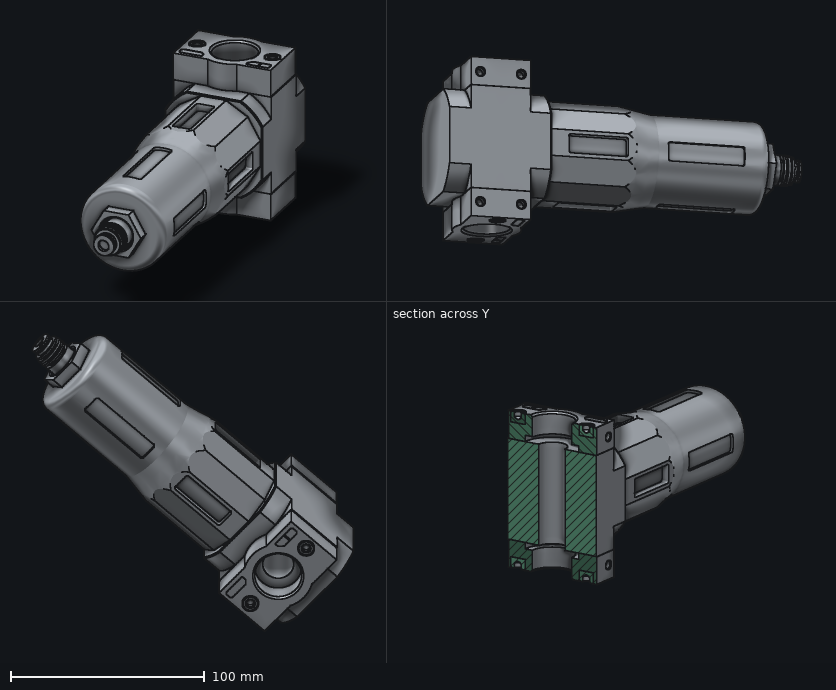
import cadquery as cq
import math


total_length = 195.2
total_height = 85.0

housing_width = 55.2
housing_height = 54.9
housing_back = 27.5
housing_front = -27.3
housing_round_radius = 31.5
housing_edge_chamfer = 0.5
band_half_depth = 16.0

plate_width = 55.0
plate_shift = -0.3
plate_thickness = (total_height - housing_height) / 2
boss_radius = 18.0
port_diameter = 24.2
port_mouth_diameter = 26.4
port_depth = 12.0
seal_recess_diameter = 33.2
through_bore_diameter = 16.0

side_hole_diameter = 4.1
side_hole_mouth_diameter = 5.0
side_hole_depth = 4.0
side_hole_offset = 11.0
side_hole_inset = 7.8

label_depth = 0.2
label_bottom = -13.5
label_top = -9.2
left_label_slant = 1.8
right_label_slant = 2.3
label_corner_radius = 1.2
left_label_start = -25.8
left_label_end = -12.9
right_label_start = 12.3
right_label_split = 18.7
right_label_gap = 0.5
right_label_end = 25.0

screw_offset = 21.3
screw_diameter = 8.5
screw_top_diameter = 7.5
screw_length = 5.9
socket_diameter = 4.1
socket_mouth_diameter = 5.0
socket_depth = 3.0
drill_point_angle = 118.0

guard_sides = 12
guard_across_flats = 53.1
guard_corner_radius = guard_across_flats / 2 / math.cos(math.pi / guard_sides)
guard_taper_start = -68.7
guard_taper_end = -85.7
guard_end = -145.5
guard_radius = 24.2
guard_end_fillet = 4.1

window_count = 4
window_width = 10.2
window_corner_radius = 1.2
upper_window = (-36.9, -68.5)
lower_window = (-91.0, -131.8)

bowl_radius = 22.6
bowl_end = -141.0
hex_across_flats = 24.2
hex_end = -151.5
drain_recess_diameter = 18.0
drain_recess_mouth_diameter = 19.5
drain_recess_depth = 4.0

drain_steps = [
    (-155.5, 16.0),
    (-157.3, 11.7),
    (-158.5, 16.0),
    (-159.7, 11.7),
    (-161.0, 15.8),
    (-162.0, 11.0),
    (-163.2, 14.6),
    (-165.0, 11.0),
    (-166.1, 8.5),
    (-167.3, 11.5),
]
drain_tip = housing_back - total_length
drain_bore_diameter = 6.0
drain_bore_depth = 2.0


def across_y(y):
    """Workplane at Y = y whose local axes are X and Z; positive extrusion goes toward -Y."""
    return cq.Workplane("XZ", origin=(0, y, 0))


def drilled_hole(diameter, depth):
    """Cutter along -Z from the origin: straight wall and conical floor."""
    radius = diameter / 2
    point_height = radius / math.tan(math.radians(drill_point_angle / 2))
    return (
        cq.Workplane("XZ")
        .moveTo(0, 0)
        .lineTo(radius, 0)
        .lineTo(radius, -depth)
        .lineTo(0, -depth - point_height)
        .close()
        .revolve(360, (0, 0, 0), (0, 1, 0))
    )


def mouth_cone(mouth_diameter, diameter, center, inward):
    """Cutter for a 45 degree chamfer around the mouth of a hole that runs along inward."""
    height = (mouth_diameter - diameter) / 2
    start = cq.Vector(*center)
    return cq.Solid.makeCone(mouth_diameter / 2, diameter / 2, height, start, cq.Vector(*inward))


def make_housing():
    length = housing_back - housing_front
    square = across_y(housing_back).rect(housing_width, housing_height).extrude(length)
    drum = across_y(housing_back).circle(housing_round_radius).extrude(length)
    rounded = square.intersect(drum).faces("<Y").chamfer(housing_edge_chamfer)
    band = cq.Workplane("XY").box(housing_width, 2 * band_half_depth, housing_height)
    bore = cq.Workplane("XY").circle(through_bore_diameter / 2).extrude(housing_height, both=True)
    return rounded.union(band).cut(bore)


def label_field(points):
    """Cutter for a shallow field in the outer face of the upper plate."""
    face = cq.Workplane("XY", origin=(0, 0, total_height / 2))
    return face.polyline(points).close().extrude(-label_depth)


def round_end(field, end):
    return field.edges("|Z").edges(end).fillet(label_corner_radius)


def left_label():
    points = [
        (left_label_start, label_bottom),
        (left_label_end, label_bottom),
        (left_label_end, label_top - left_label_slant),
        (left_label_end - left_label_slant, label_top),
        (left_label_start, label_top),
    ]
    return round_end(label_field(points), "<X")


def right_label_slanted():
    points = [
        (right_label_start, label_bottom),
        (right_label_split, label_bottom),
        (right_label_split, label_top),
        (right_label_start + right_label_slant, label_top),
        (right_label_start, label_top - right_label_slant),
    ]
    return label_field(points)


def right_label_rounded():
    start = right_label_split + right_label_gap
    points = [
        (start, label_bottom),
        (right_label_end, label_bottom),
        (right_label_end, label_top),
        (start, label_top),
    ]
    return round_end(label_field(points), ">X")


def make_upper_plate():
    bottom = housing_height / 2
    top = total_height / 2
    left_face = plate_shift - plate_width / 2

    base = cq.Workplane("XY", origin=(0, 0, bottom))
    plate = base.center(plate_shift, 0).rect(plate_width, 2 * band_half_depth).extrude(plate_thickness)
    plate = plate.union(base.circle(boss_radius).extrude(plate_thickness))

    outer = cq.Workplane("XY", origin=(0, 0, top))
    plate = plate.cut(base.circle(port_diameter / 2).extrude(plate_thickness))
    plate = plate.cut(base.circle(seal_recess_diameter / 2).extrude(plate_thickness - port_depth))
    plate = plate.cut(mouth_cone(port_mouth_diameter, port_diameter, (0, 0, top), (0, 0, -1)))

    screw_places = [(-screw_offset, 0), (screw_offset, 0)]
    recesses = outer.pushPoints(screw_places).circle(screw_diameter / 2).extrude(-screw_length)
    plate = plate.cut(recesses)

    side_hole = drilled_hole(side_hole_diameter, side_hole_depth)
    side_hole = side_hole.rotate((0, 0, 0), (0, 1, 0), -90)
    for side in (-1, 1):
        place = (left_face, side * side_hole_offset, top - side_hole_inset)
        plate = plate.cut(side_hole.translate(place))
        plate = plate.cut(mouth_cone(side_hole_mouth_diameter, side_hole_diameter, place, (1, 0, 0)))

    for label in (left_label(), right_label_slanted(), right_label_rounded()):
        plate = plate.cut(label)
    return plate


def make_upper_screw(x):
    top = total_height / 2
    edge_chamfer = (screw_diameter - screw_top_diameter) / 2
    blank = cq.Workplane("XY").circle(screw_diameter / 2).extrude(-screw_length)
    blank = blank.faces(">Z").chamfer(edge_chamfer)
    socket = drilled_hole(socket_diameter, socket_depth)
    mouth = mouth_cone(socket_mouth_diameter, socket_diameter, (0, 0, 0), (0, 0, -1))
    return blank.cut(socket).cut(mouth).translate((x, 0, top))


def hex_prism(y_start, y_end):
    """Hexagonal prism with two flats facing +Z and -Z."""
    corner_diameter = hex_across_flats / math.cos(math.pi / 6)
    return across_y(y_start).polygon(6, corner_diameter).extrude(y_start - y_end)


def make_guard():
    grip_length = housing_front - guard_end
    half_step = 180.0 / guard_sides
    prism = across_y(housing_front).polygon(guard_sides, 2 * guard_corner_radius).extrude(grip_length)
    prism = prism.rotate((0, 0, 0), (0, 1, 0), half_step)

    turned = (
        cq.Workplane("XY")
        .moveTo(0, housing_front)
        .lineTo(guard_corner_radius, housing_front)
        .lineTo(guard_corner_radius, guard_taper_start)
        .lineTo(guard_radius, guard_taper_end)
        .lineTo(guard_radius, guard_end)
        .lineTo(0, guard_end)
        .close()
        .revolve(360, (0, 0, 0), (0, 1, 0))
        .faces("<Y")
        .edges()
        .fillet(guard_end_fillet)
    )
    guard = prism.intersect(turned)

    guard = guard.cut(across_y(housing_front).circle(bowl_radius).extrude(housing_front - bowl_end))
    guard = guard.cut(hex_prism(bowl_end, guard_end))

    for y_start, y_end in (upper_window, lower_window):
        window = (
            cq.Workplane("XY", origin=(0, (y_start + y_end) / 2, 0))
            .rect(window_width, y_start - y_end)
            .extrude(guard_corner_radius)
            .edges("|Z")
            .fillet(window_corner_radius)
        )
        for i in range(window_count):
            guard = guard.cut(window.rotate((0, 0, 0), (0, 1, 0), i * 360.0 / window_count))
    return guard


def make_bowl():
    bowl = across_y(housing_front).circle(bowl_radius).extrude(housing_front - bowl_end)
    bowl = bowl.union(hex_prism(bowl_end, hex_end))
    recess = across_y(hex_end).circle(drain_recess_diameter / 2).extrude(-drain_recess_depth)
    mouth = mouth_cone(drain_recess_mouth_diameter, drain_recess_diameter, (0, hex_end, 0), (0, 1, 0))
    return bowl.cut(recess).cut(mouth)


def make_drain():
    start = hex_end + drain_recess_depth
    outline = cq.Workplane("XY").moveTo(0, start)
    for end, diameter in drain_steps:
        outline = outline.lineTo(diameter / 2, start).lineTo(diameter / 2, end)
        start = end
    outline = outline.lineTo(drain_bore_diameter / 2, drain_tip)
    outline = outline.lineTo(drain_bore_diameter / 2, drain_tip + drain_bore_depth)
    outline = outline.lineTo(0, drain_tip + drain_bore_depth).close()
    return outline.revolve(360, (0, 0, 0), (0, 1, 0))


housing = make_housing()

upper_plate = make_upper_plate()
plates = [upper_plate, upper_plate.mirror("XY")]

screws = []
for screw_x in (-screw_offset, screw_offset):
    upper_screw = make_upper_screw(screw_x)
    screws.append(upper_screw)
    screws.append(upper_screw.mirror("XY"))

guard = make_guard()
bowl = make_bowl()
drain = make_drain()

bodies = [housing, *plates, *screws, guard, bowl, drain]
result = cq.Compound.makeCompound([body.val() for body in bodies])